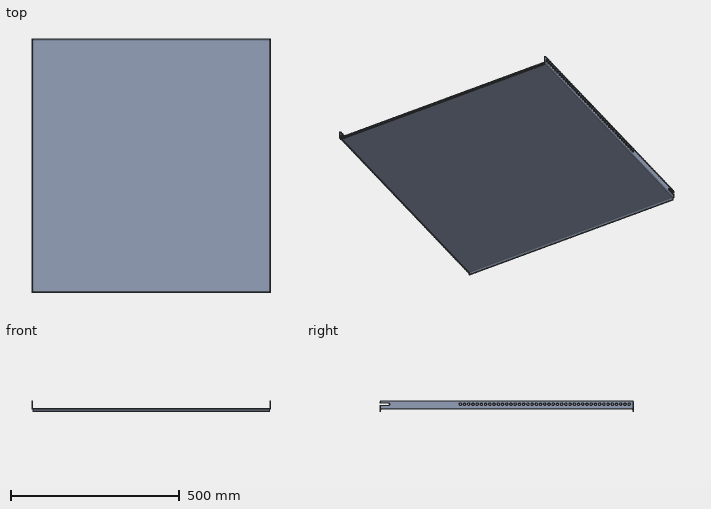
import cadquery as cq

width = 706.0
depth = 750.0
height = 31.5

sheet = 1.5
inside_bend_radius = 1.0
wall_outside_radius = 1.75
lip_outside_radius = 1.0

wall_height = 25.0
wall_corner_radius = 5.0
hole_diameter = 6.5
hole_pitch = 12.5
hole_count = 41
hole_drop = 10.0
first_hole_inset = 12.5
slot_depth = 25.0
relief_depth = 1.0

half_width = width / 2
half_depth = depth / 2
bend_zone = sheet + inside_bend_radius
lip_length = width - 2 * bend_zone
lip_bottom = wall_height - height
lip_height = sheet - lip_bottom
hole_z = wall_height - hole_drop


def make_tray():
    """Floor and both upright walls, as one U-section along Y."""
    outer = (
        cq.Workplane("XY")
        .box(width, depth, wall_height, centered=(True, True, False))
        .edges("|Y and <Z")
        .fillet(wall_outside_radius)
    )
    inner = (
        cq.Workplane("XY", origin=(0, 0, sheet))
        .box(width - 2 * sheet, depth, wall_height, centered=(True, True, False))
        .edges("|Y and <Z")
        .fillet(inside_bend_radius)
    )
    tray = outer.cut(inner)
    return tray.edges("|X and >Z").fillet(wall_corner_radius)


def make_bend_reliefs():
    """Bars that trim the front and rear ends of the floor and wall bends."""
    return (
        cq.Workplane("XY")
        .pushPoints([(0, half_depth), (0, -half_depth)])
        .rect(width, 2 * relief_depth)
        .extrude(bend_zone)
    )


def make_lip_section():
    """Floor between the wall bends and both hanging lips, as an inverted U-section along X."""
    outer = (
        cq.Workplane("XY", origin=(0, 0, lip_bottom))
        .box(lip_length, depth, lip_height, centered=(True, True, False))
        .edges("|X and >Z")
        .fillet(lip_outside_radius)
    )
    inner = (
        cq.Workplane("XY", origin=(0, 0, lip_bottom))
        .box(lip_length, depth - 2 * sheet, lip_height - sheet, centered=(True, True, False))
        .edges("|X and >Z")
        .fillet(inside_bend_radius)
    )
    return outer.cut(inner)


def make_hole_row():
    """Cylinders that pierce both walls at every hole position."""
    first_hole_y = half_depth - first_hole_inset
    places = [(first_hole_y - i * hole_pitch, hole_z) for i in range(hole_count)]
    return (
        cq.Workplane("YZ")
        .pushPoints(places)
        .circle(hole_diameter / 2)
        .extrude(half_width, both=True)
    )


def make_front_slot():
    """Round-ended slot that opens at the front edge of both walls."""
    return (
        cq.Workplane("YZ")
        .center(-half_depth, hole_z)
        .slot2D(2 * slot_depth + hole_diameter, hole_diameter)
        .extrude(half_width, both=True)
    )


result = make_tray().cut(make_bend_reliefs()).union(make_lip_section())
result = result.cut(make_hole_row()).cut(make_front_slot())